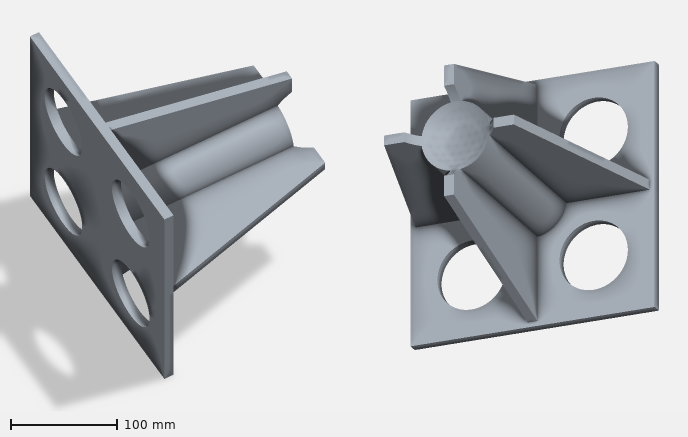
import cadquery as cq
import math

plate_side = 250.0
plate_thickness = 10.0
hole_diameter = 70.0
hole_spacing = plate_side / 2

total_depth = 210.0
post_diameter = 70.0

rib_count = 4
rib_thickness = 10.0
rib_margin = 5.0
rib_taper = 15.0
rib_length = total_depth - plate_thickness
rib_foot_reach = plate_side / 2 - rib_margin
rib_tip_reach = rib_foot_reach - rib_length * math.tan(math.radians(rib_taper))

seat_radius = 50.0
seat_center_offset = 20.0


def make_plate():
    """Square plate with four round holes through it."""
    return (
        cq.Workplane("XZ")
        .rect(plate_side, plate_side)
        .extrude(-plate_thickness)
        .faces("<Y")
        .workplane(origin=(0, 0, 0))
        .rarray(hole_spacing, hole_spacing, 2, 2)
        .hole(hole_diameter)
    )


def make_post_blank():
    """Full-length round post, before the seat is cut."""
    return (
        cq.Workplane("XZ", origin=(0, plate_thickness, 0))
        .circle(post_diameter / 2)
        .extrude(-rib_length)
    )


def make_seat_cutter():
    """Ball that shapes the seat."""
    center = (0, total_depth + seat_center_offset, 0)
    return cq.Workplane("XY").sphere(seat_radius).translate(center)


def make_rib(angle):
    """Tapered rib fitted to the post and the seat, turned by angle about the Y axis."""
    outline = [
        (0, plate_thickness),
        (rib_foot_reach, plate_thickness),
        (rib_tip_reach, total_depth),
        (0, total_depth),
    ]
    rib = cq.Workplane("XY").polyline(outline).close().extrude(rib_thickness / 2, both=True)
    rib = rib.cut(make_post_blank()).cut(make_seat_cutter())
    return rib.rotate((0, 0, 0), (0, 1, 0), angle)


plate = make_plate()
post = make_post_blank().cut(make_seat_cutter())
ribs = [make_rib(i * 360 / rib_count) for i in range(rib_count)]

result = cq.Compound.makeCompound([plate.val(), post.val(), *[rib.val() for rib in ribs]])